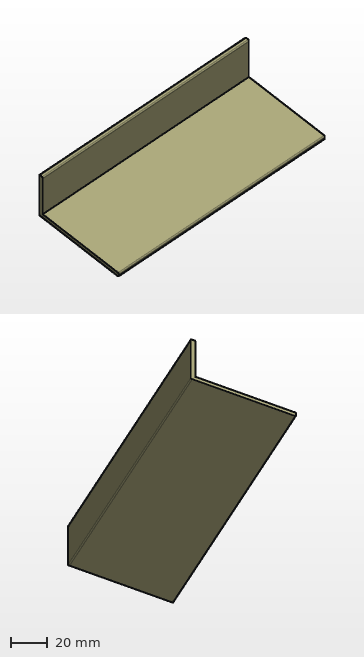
import cadquery as cq

length = 152.4
base_width = length / 2.4
wall_height = base_width / 2
edge_radius = 0.73
thickness = 4 * edge_radius

profile = [
    (0, 0),
    (base_width, 0),
    (base_width, thickness),
    (thickness, thickness),
    (thickness, wall_height),
    (0, wall_height),
]
angle = cq.Workplane("XZ").polyline(profile).close().extrude(length / 2, both=True)

inner_corner = cq.selectors.NearestToPointSelector((thickness, 0, thickness))
outer_edges = cq.selectors.SubtractSelector(cq.selectors.StringSyntaxSelector("|Y"), inner_corner)
result = angle.edges(outer_edges).fillet(edge_radius)